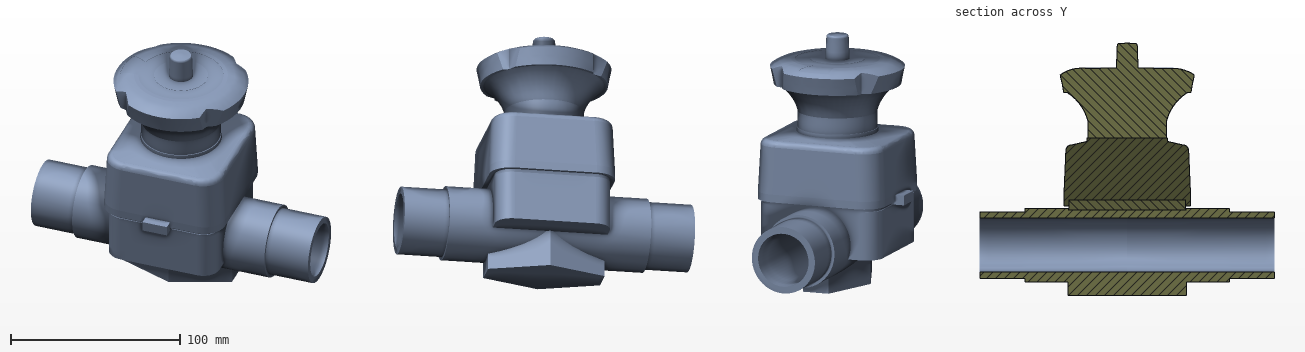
import cadquery as cq
import math


valve_length = 174.5
spigot_radius = 20.0
shoulder_length = 121.1
shoulder_radius = 22.0
bore_radius = 16.0
block_x, block_y = 69.1, 76.5
block_corner_radius = 10.1
block_bottom, block_top = -8.4, 21.0
foot_half_length = 35.0
foot_mid_half_width = 21.1
foot_end_half_width = 8.0
foot_bottom = -30.0

diaphragm_x, diaphragm_y = block_x, 75.0
diaphragm_corner_radius = 10.3
diaphragm_thickness = 6.0
diaphragm_top = block_top + diaphragm_thickness
tab_width = 15.4
tab_reach = 45.4

bonnet_x, bonnet_y = 75.4, 80.0
bonnet_corner_radius = 13.1
bonnet_bottom = 23.0
rim_top = 27.7
bonnet_shoulder = 59.5
wall_draft_angle = 2.5
bonnet_edge_fillet = 3.7
collar_base_radius, collar_top_radius = 24.3, 24.0
collar_bottom, collar_top = 61.5, 63.7
roof_corner_arc_angle = 26.0

neck_radius = 23.5
neck_top = 73.5
flare_mid_radius, flare_mid_z = 28.1, 83.0
flare_top_radius = 35.8
grip_bottom, grip_top = 90.2, 100.7
grip_bottom_radius, grip_top_radius = 37.9, 40.0
wheel_top = 104.9
wheel_flat_radius = 27.7
notch_count = 4
notch_apex = (25.3, -25.5)
notch_long_side = (19.2, 10.5)
notch_short_side = (-3.5, -13.6)
dial_depth = 0.2
dial_radius = 25.1
pointer_radius = 36.3
pointer_root = (-24.8, 6.0)
pointer_tip = (-34.5, 12.0)
pointer_lower_y = -8.2
hub_radius = 16.0

stem_base_radius, stem_tip_radius = 7.2, 6.6
stem_crown_radius = 6.0
stem_side_top = 118.1
stem_crown_z = 119.4
stem_edge_bulge = 0.2
stem_top = 119.9


def rounded_block(size_x, size_y, corner_radius, bottom, top):
    """Upright block with rounded vertical corners, centred on the spindle axis."""
    block = cq.Workplane("XY").workplane(offset=bottom).rect(size_x, size_y).extrude(top - bottom)
    return block.edges("|Z").fillet(corner_radius)


def pipe_rod(radius, length):
    """Solid rod along the pipe axis, centred on the spindle axis."""
    return cq.Workplane("YZ").circle(radius).extrude(length / 2, both=True)


def make_diaphragm():
    plate = rounded_block(diaphragm_x, diaphragm_y, diaphragm_corner_radius, block_top, diaphragm_top)
    tab = cq.Workplane("XY").box(tab_width, tab_reach, diaphragm_thickness, centered=(True, False, False))
    return plate.union(tab.translate((0, -tab_reach, block_top)))


def make_body(diaphragm):
    block = rounded_block(block_x, block_y, block_corner_radius, block_bottom, block_top)
    foot_outline = [
        (foot_half_length, -foot_end_half_width),
        (foot_half_length, foot_end_half_width),
        (0, foot_mid_half_width),
        (-foot_half_length, foot_end_half_width),
        (-foot_half_length, -foot_end_half_width),
        (0, -foot_mid_half_width),
    ]
    foot = cq.Workplane("XY").workplane(offset=foot_bottom).polyline(foot_outline).close().extrude(-foot_bottom)
    shoulder = pipe_rod(shoulder_radius, shoulder_length).cut(diaphragm)
    body = block.union(foot).union(shoulder).union(pipe_rod(spigot_radius, valve_length))
    return body.cut(pipe_rod(bore_radius, valve_length))


def rounded_rectangle_wire(half_x, half_y, radius, z):
    """Rounded rectangle of four sides and four corner arcs, anticlockwise from the +X side."""
    corner_signs = [(1, 1), (-1, 1), (-1, -1), (1, -1)]
    corner_arcs = []
    for index, (sign_x, sign_y) in enumerate(corner_signs):
        centre_x, centre_y = sign_x * (half_x - radius), sign_y * (half_y - radius)
        start_angle = index * 90
        arc = []
        for angle in (start_angle, start_angle + 45, start_angle + 90):
            turn = math.radians(angle)
            arc.append(cq.Vector(centre_x + radius * math.cos(turn), centre_y + radius * math.sin(turn), z))
        corner_arcs.append(arc)

    edges = []
    for index, arc in enumerate(corner_arcs):
        edges.append(cq.Edge.makeLine(corner_arcs[index - 1][2], arc[0]))
        edges.append(cq.Edge.makeThreePointArc(*arc))
    return cq.Wire.assembleEdges(edges)


def collar_wire(radius, z):
    """Circle split into arcs that pair with the sides and corners of the rounded rectangle."""
    half_corner = roof_corner_arc_angle / 2
    edges = []
    for diagonal in (45, 135, 225, 315):
        breaks = [diagonal - 90 + half_corner, diagonal - half_corner, diagonal + half_corner]
        for start, end in zip(breaks, breaks[1:]):
            turns = [math.radians(angle) for angle in (start, (start + end) / 2, end)]
            arc = [cq.Vector(radius * math.cos(turn), radius * math.sin(turn), z) for turn in turns]
            edges.append(cq.Edge.makeThreePointArc(*arc))
    return cq.Wire.assembleEdges(edges)


def make_bonnet(diaphragm):
    rim = rounded_block(bonnet_x, bonnet_y, bonnet_corner_radius, bonnet_bottom, rim_top)

    draft_inset = (bonnet_shoulder - rim_top) * math.tan(math.radians(wall_draft_angle))
    half_x, half_y = bonnet_x / 2, bonnet_y / 2
    wall_foot = rounded_rectangle_wire(half_x, half_y, bonnet_corner_radius, rim_top)
    wall_head = rounded_rectangle_wire(
        half_x - draft_inset, half_y - draft_inset, bonnet_corner_radius, bonnet_shoulder
    )
    walls = cq.Workplane(cq.Solid.makeLoft([wall_foot, wall_head], True))
    walls = walls.faces(">Z").edges().fillet(bonnet_edge_fillet)

    roof_inset = draft_inset + bonnet_edge_fillet
    roof_foot = rounded_rectangle_wire(
        half_x - roof_inset, half_y - roof_inset, bonnet_corner_radius - bonnet_edge_fillet, bonnet_shoulder
    )
    roof_head = collar_wire(collar_base_radius, collar_bottom)
    roof = cq.Workplane(cq.Solid.makeLoft([roof_foot, roof_head], True))

    collar = cq.Workplane(
        cq.Solid.makeCone(
            collar_base_radius, collar_top_radius, collar_top - collar_bottom, cq.Vector(0, 0, collar_bottom)
        )
    )
    return rim.union(walls).union(roof).union(collar).cut(diaphragm)


def make_wheel_blank():
    """Turned handwheel: neck, flare, conical grip and a rounded shoulder up to the flat top."""
    shoulder_width = grip_top_radius - wheel_flat_radius
    shoulder_drop = wheel_top - grip_top
    arc_radius = (shoulder_width**2 + shoulder_drop**2) / (2 * shoulder_drop)
    half_turn = math.asin(shoulder_width / arc_radius) / 2
    shoulder_mid = (
        wheel_flat_radius + arc_radius * math.sin(half_turn),
        wheel_top - arc_radius * (1 - math.cos(half_turn)),
    )
    profile = (
        cq.Workplane("XZ")
        .moveTo(0, collar_top)
        .lineTo(neck_radius, collar_top)
        .lineTo(neck_radius, neck_top)
        .threePointArc((flare_mid_radius, flare_mid_z), (flare_top_radius, grip_bottom))
        .lineTo(grip_bottom_radius, grip_bottom)
        .lineTo(grip_top_radius, grip_top)
        .threePointArc(shoulder_mid, (wheel_flat_radius, wheel_top))
        .lineTo(0, wheel_top)
        .close()
    )
    return profile.revolve(360, (0, 0, 0), (0, 1, 0))


def make_notch():
    """V-shaped finger notch that opens outward through the grip."""
    apex_x, apex_y = notch_apex
    outline = [
        notch_apex,
        (apex_x + notch_short_side[0], apex_y + notch_short_side[1]),
        (apex_x + notch_long_side[0], apex_y + notch_short_side[1]),
        (apex_x + notch_long_side[0], apex_y + notch_long_side[1]),
    ]
    notch = cq.Workplane("XY").workplane(offset=grip_bottom).polyline(outline).close()
    return notch.extrude(wheel_top - grip_bottom)


def make_dial_prism():
    """Prism over the wheel top with the outline of the round dial and its pointer on the -X side."""
    height = wheel_top - grip_top
    base = cq.Workplane("XY").workplane(offset=grip_top)
    pointer_outline = [
        (0, pointer_lower_y),
        (-pointer_radius, pointer_lower_y),
        (-pointer_radius, pointer_tip[1]),
        pointer_tip,
        pointer_root,
        (0, pointer_root[1]),
    ]
    pointer = base.polyline(pointer_outline).close().extrude(height)
    pointer = pointer.intersect(base.circle(pointer_radius).extrude(height))
    return base.circle(dial_radius).extrude(height).union(pointer)


def make_stem():
    """Tapered indicator stem with a rounded edge and a low crown."""
    edge_mid = ((stem_tip_radius + stem_crown_radius) / 2 + stem_edge_bulge, (stem_side_top + stem_crown_z) / 2)
    profile = (
        cq.Workplane("XZ")
        .moveTo(0, wheel_top)
        .lineTo(stem_base_radius, wheel_top)
        .lineTo(stem_tip_radius, stem_side_top)
        .threePointArc(edge_mid, (stem_crown_radius, stem_crown_z))
        .lineTo(0, stem_top)
        .close()
    )
    return profile.revolve(360, (0, 0, 0), (0, 1, 0))


def make_handwheel():
    blank = make_wheel_blank()

    above_dial = blank.cut(blank.translate((0, 0, -dial_depth)))
    wheel = blank.cut(above_dial.intersect(make_dial_prism()))

    notch = make_notch()
    for index in range(notch_count):
        wheel = wheel.cut(notch.rotate((0, 0, 0), (0, 0, 1), index * 360 / notch_count))

    hub = cq.Workplane("XY").workplane(offset=wheel_top).circle(hub_radius).extrude(-dial_depth)
    return wheel.union(hub).union(make_stem())


diaphragm = make_diaphragm()
body = make_body(diaphragm)
bonnet = make_bonnet(diaphragm)
handwheel = make_handwheel()

result = cq.Compound.makeCompound([body.val(), diaphragm.val(), bonnet.val(), handwheel.val()])